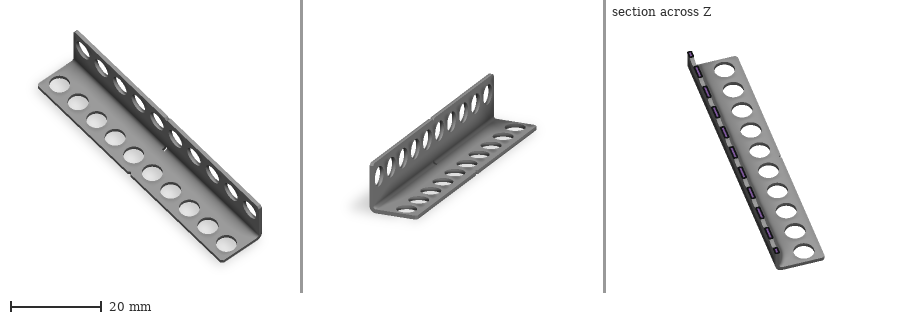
import cadquery as cq

length = 63.5
leg = 11.48
thickness = 0.9144
inner_bend_radius = 0.635
outer_bend_radius = inner_bend_radius + thickness

hole_count = 10
hole_diameter = 4.62
hole_pitch = length / hole_count
hole_to_free_edge = 3.937

corner_chamfer = 0.508
notch_depth = corner_chamfer

slot_width = 0.762
slot_reach = 1.75


def flat_leg():
    """Horizontal leg from the end of the bend (y = leg - outer_bend_radius) to the free edge at y = 0."""
    half = length / 2
    bend_line = leg - outer_bend_radius
    outline = [
        (-half, bend_line),
        (-half, corner_chamfer),
        (-half + corner_chamfer, 0),
        (-notch_depth, 0),
        (0, notch_depth),
        (notch_depth, 0),
        (half - corner_chamfer, 0),
        (half, corner_chamfer),
        (half, bend_line),
    ]
    plate = cq.Workplane("XY").polyline(outline).close().extrude(thickness)
    first_hole = -half + hole_pitch / 2
    centers = [(first_hole + i * hole_pitch, hole_to_free_edge) for i in range(hole_count)]
    holes = cq.Workplane("XY").pushPoints(centers).circle(hole_diameter / 2).extrude(thickness)
    return plate.cut(holes)


def upright_leg():
    """Vertical leg: the flat leg given a quarter turn about X, with its free edge at the top."""
    return flat_leg().rotate((0, 0, 0), (1, 0, 0), -90).translate((0, leg - thickness, leg))


def bend():
    """Quarter-round strip that joins the two legs."""
    center_y = leg - outer_bend_radius
    center_z = outer_bend_radius
    ring = (
        cq.Workplane("YZ", origin=(-length / 2, center_y, center_z))
        .circle(outer_bend_radius)
        .circle(inner_bend_radius)
        .extrude(length)
    )
    quadrant = cq.Workplane("XY", origin=(0, center_y, 0)).box(
        length, outer_bend_radius, outer_bend_radius, centered=(True, False, False)
    )
    return ring.intersect(quadrant)


def bend_slot():
    """Block that cuts the slot across the bend at mid length."""
    return cq.Workplane("XY", origin=(0, leg - slot_reach, 0)).box(
        slot_width, slot_reach, slot_reach, centered=(True, False, False)
    )


angle = flat_leg().union(bend()).union(upright_leg())
result = angle.cut(bend_slot())